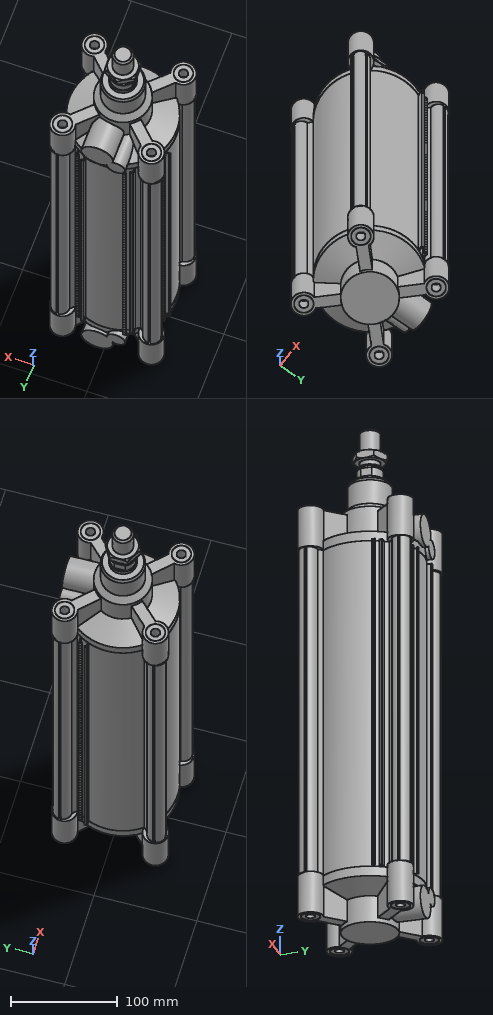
import cadquery as cq
import math


total_height = 508.0
cap_length = 45.5
front_cap_bottom = 376.0
front_cap_shoulder = front_cap_bottom + cap_length

overall_width = 113.0
body_diameter = 106.0
body_rim = 9.5
neck_diameter = 55.0
cone_height = 9.5
post_diameter = 24.5
post_length = 41.0
post_offset = (overall_width - post_diameter) / 2
rib_width = 11.5
screw_seat_diameter = 18.5
screw_seat_depth = 0.5
screw_hole_diameter = 8.5
screw_hole_depth = 15.0

port_diameter = 31.5
port_x = 5.5
port_height = 23.5
cushion_diameter = 18.5
cushion_x = -13.0
cushion_height = 11.0
boss_end_y = overall_width / 2

guide_diameter = 42.0
guide_bottom = 427.0
guide_top = 454.0
guide_chamfer_height = 3.0
guide_chamfer_width = 1.5
wiper_diameter = 26.5
wiper_top = 458.5

lobe_diameter = 18.5
lobe_offset = 45.5
web_width = 13.0
slit_width = 2.0
slit_depth = 2.0
lip_thickness = 1.0
lip_tip_height = 3.0
inner_lip_reach = 51.5
inner_lip_y = 28.5
outer_lip_reach = 54.5
outer_lip_y = 19.5
lip_root = 43.0

rod_diameter = 25.0
rod_shoulder = 468.0
undercut_diameter = 18.0
thread_diameter = 20.0
thread_bottom = 471.0
thread_tip_chamfer = 2.0
wrench_flats = 22.5
flats_bottom = 459.0
nut_width = 30.0
nut_bottom = 476.5
nut_height = 8.0
nut_face_diameter = 29.5
nut_chamfer_angle = 30


def rod_of(diameter, bottom, top):
    """Upright cylinder on the axis."""
    return cq.Workplane("XY").workplane(offset=bottom).circle(diameter / 2).extrude(top - bottom)


def corners(offset):
    """The four corner positions at the given offset from both axes."""
    return [(x, y) for x in (-offset, offset) for y in (-offset, offset)]


def rib_with_ends(width, corner_offset, end_diameter, height):
    """Rib along X through the axis with a round post at each end, as long as the corner diagonal."""
    reach = corner_offset * math.sqrt(2)
    rib = cq.Workplane("XY").box(2 * reach, width, height, centered=(True, True, False))
    ends = cq.Workplane("XY").pushPoints([(-reach, 0), (reach, 0)]).circle(end_diameter / 2).extrude(height)
    return rib.union(ends)


def diagonal_cross(rib):
    """Two copies of a rib crossing on the diagonals, so its ends lie at the four corners."""
    axis_start = (0, 0, 0)
    axis_end = (0, 0, 1)
    return rib.rotate(axis_start, axis_end, 45).union(rib.rotate(axis_start, axis_end, -45))


def side_boss(diameter, x, height):
    """Round boss from the neck out to the +Y side."""
    return (
        cq.Workplane("XZ")
        .center(x, height)
        .circle(diameter / 2)
        .extrude(-boss_end_y)
    )


def make_cap():
    """End cap standing on its barrel joint at Z = 0, with the neck pointing up."""
    body_radius = body_diameter / 2
    neck_radius = neck_diameter / 2
    cap = (
        cq.Workplane("XZ")
        .polyline([
            (0, 0),
            (body_radius, 0),
            (body_radius, body_rim),
            (neck_radius, body_rim + cone_height),
            (neck_radius, cap_length),
            (0, cap_length),
        ])
        .close()
        .revolve(360, (0, 0), (0, 1))
    )
    rib = rib_with_ends(rib_width, post_offset, post_diameter, post_length)
    cap = cap.union(diagonal_cross(rib))
    cap = cap.union(side_boss(port_diameter, port_x, port_height))
    cap = cap.union(side_boss(cushion_diameter, cushion_x, cushion_height))
    return (
        cap.copyWorkplane(cq.Workplane("XY", origin=(0, 0, post_length)))
        .pushPoints(corners(post_offset))
        .cboreHole(screw_hole_diameter, screw_seat_diameter, screw_seat_depth, screw_hole_depth)
    )


def make_rear_cap():
    return make_cap().mirror("XY").translate((0, 0, cap_length))


def make_front_cap():
    cap = make_cap().translate((0, 0, front_cap_bottom))
    guide_radius = guide_diameter / 2
    guide = (
        cq.Workplane("XZ")
        .polyline([
            (0, front_cap_shoulder),
            (neck_diameter / 2, front_cap_shoulder),
            (guide_radius, guide_bottom),
            (guide_radius, guide_top - guide_chamfer_height),
            (guide_radius - guide_chamfer_width, guide_top),
            (wiper_diameter / 2, guide_top),
            (wiper_diameter / 2, wiper_top),
            (0, wiper_top),
        ])
        .close()
        .revolve(360, (0, 0), (0, 1))
    )
    return cap.union(guide).cut(rod_of(rod_diameter, front_cap_bottom, wiper_top))


def sensor_lip(reach, outer_y, tip_side, length):
    """L-shaped lip on the -X side; its tip turns towards +Y (tip_side 1) or -Y (tip_side -1)."""
    inner_y = outer_y + tip_side * lip_thickness
    tip_y = outer_y + tip_side * lip_tip_height
    return (
        cq.Workplane("XY")
        .polyline([
            (-lip_root, outer_y),
            (-reach, outer_y),
            (-reach, tip_y),
            (-reach + lip_thickness, tip_y),
            (-reach + lip_thickness, inner_y),
            (-lip_root, inner_y),
        ])
        .close()
        .extrude(length)
    )


def make_barrel():
    length = front_cap_bottom - cap_length
    barrel = cq.Workplane("XY").circle(body_diameter / 2).extrude(length)
    barrel = barrel.union(diagonal_cross(rib_with_ends(web_width, lobe_offset, lobe_diameter, length)))
    crest = lobe_offset + lobe_diameter / 2
    slits = (
        cq.Workplane("XY")
        .pushPoints([(-lobe_offset, crest), (lobe_offset, crest)])
        .rect(slit_width, 2 * slit_depth)
        .extrude(length)
    )
    for angle in (0, 90, 180, 270):
        barrel = barrel.cut(slits.rotate((0, 0, 0), (0, 0, 1), angle))
    for lip in (
        sensor_lip(inner_lip_reach, inner_lip_y, -1, length),
        sensor_lip(outer_lip_reach, outer_lip_y, 1, length),
    ):
        corner_lips = lip.union(lip.mirror(cq.Vector(1, 1, 0)))
        barrel = barrel.union(corner_lips).union(corner_lips.mirror("YZ"))
    return barrel.translate((0, 0, cap_length))


def make_rod():
    rod = rod_of(rod_diameter, front_cap_bottom, rod_shoulder)
    flats_height = rod_shoulder - flats_bottom
    for side in (-1, 1):
        cutter = cq.Workplane("XY").box(rod_diameter, rod_diameter, flats_height, centered=(True, True, False))
        rod = rod.cut(cutter.translate((side * (wrench_flats + rod_diameter) / 2, 0, flats_bottom)))
    rod = rod.union(rod_of(undercut_diameter, rod_shoulder, thread_bottom))
    thread = rod_of(thread_diameter, thread_bottom, total_height)
    thread = thread.faces("<Z").chamfer((thread_diameter - undercut_diameter) / 2)
    thread = thread.faces(">Z").chamfer(thread_tip_chamfer)
    return rod.union(thread)


def make_nut():
    """Hexagon nut with two corners on the Y axis and chamfered corners on both faces."""
    corner_diameter = nut_width / math.cos(math.pi / 6)
    hexagon = cq.Workplane("XY").polygon(6, corner_diameter).extrude(nut_height)
    hexagon = hexagon.rotate((0, 0, 0), (0, 0, 1), 30)
    chamfer_width = (corner_diameter - nut_face_diameter) / 2
    chamfer_height = chamfer_width * math.tan(math.radians(nut_chamfer_angle))
    chamfered_disc = (
        cq.Workplane("XY")
        .circle(corner_diameter / 2)
        .extrude(nut_height)
        .faces("<Z or >Z")
        .chamfer(chamfer_height, chamfer_width)
    )
    nut = hexagon.intersect(chamfered_disc).cut(rod_of(thread_diameter, 0, nut_height))
    return nut.translate((0, 0, nut_bottom))


rear_cap = make_rear_cap()
front_cap = make_front_cap()
barrel = make_barrel()
rod = make_rod()
nut = make_nut()

result = cq.Compound.makeCompound([rear_cap.val(), front_cap.val(), barrel.val(), rod.val(), nut.val()])